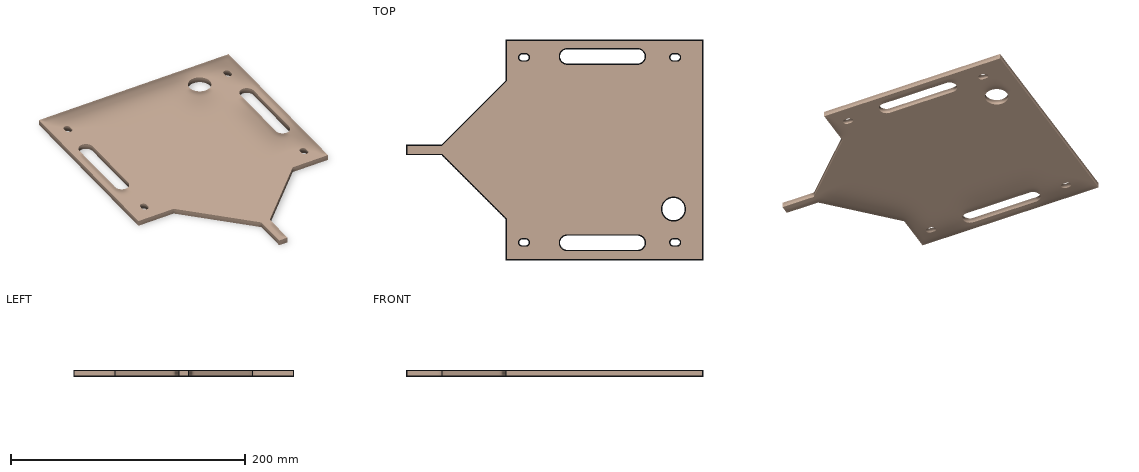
import cadquery as cq

thickness = 5.0
body_length = 168.0
body_width = 187.6
nose_length = 54.76
tongue_length = 30.0
tongue_width = 8.2

long_slot_length = 73.2
long_slot_width = 13.0
long_slot_x = -1.7
long_slot_plus_y = 79.8
long_slot_minus_y = -79.3

mount_slot_length = 9.0
mount_slot_width = 6.0
mount_slot_front_x = -68.6
mount_slot_spacing_x = 129.0
mount_slot_y = 79.0

round_hole_diameter = 20.0
round_hole_x = 59.0
round_hole_y = -50.5

body_half_width = body_width / 2
tongue_half_width = tongue_width / 2
body_back_x = body_length / 2
body_front_x = -body_length / 2
nose_tip_x = body_front_x - nose_length
tongue_tip_x = nose_tip_x - tongue_length

nose_half_width = tongue_half_width + nose_length


def plate():
    """Solid plate, symmetric about the X axis."""
    half_outline = [
        (tongue_tip_x, tongue_half_width),
        (nose_tip_x, tongue_half_width),
        (body_front_x, nose_half_width),
        (body_front_x, body_half_width),
        (body_back_x, body_half_width),
    ]
    mirrored_half = [(x, -y) for x, y in reversed(half_outline)]
    return cq.Workplane("XY").polyline(half_outline + mirrored_half).close().extrude(thickness)


def slot_cutters(centres, length, width):
    """Round-ended cutters along X, one at each centre, through the full thickness."""
    return cq.Workplane("XY").pushPoints(centres).slot2D(length, width).extrude(thickness)


def round_hole_cutter():
    """Cylinder for the round hole, through the full thickness."""
    centre = cq.Workplane("XY").center(round_hole_x, round_hole_y)
    return centre.circle(round_hole_diameter / 2).extrude(thickness)


long_slot_centres = [(long_slot_x, y) for y in (long_slot_minus_y, long_slot_plus_y)]
mount_slot_back_x = mount_slot_front_x + mount_slot_spacing_x
mount_slot_centres = [
    (x, side * mount_slot_y)
    for x in (mount_slot_front_x, mount_slot_back_x)
    for side in (-1, 1)
]

result = (
    plate()
    .cut(slot_cutters(long_slot_centres, long_slot_length, long_slot_width))
    .cut(slot_cutters(mount_slot_centres, mount_slot_length, mount_slot_width))
    .cut(round_hole_cutter())
)